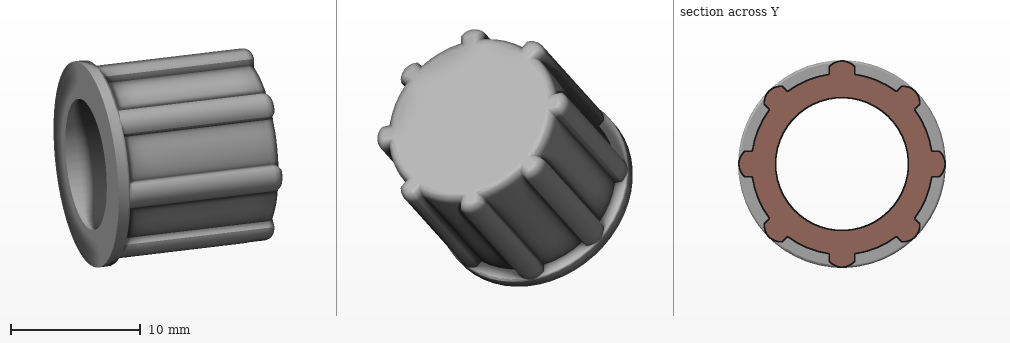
import cadquery as cq

total_length = 13.5
flange_diameter = 16.0
flange_thickness = 1.0
flange_edge_radius = 0.2
body_radius = 7.0
bore_diameter = 10.2
end_wall = 1.5
bore_depth = total_length - end_wall

rib_count = 8
rib_width = 2.0
rib_tip_radius = 7.96
rib_shoulder_radius = 7.48
closed_end_fillet = 0.7


def axial_plane(y):
    """Plane across the cap axis at the given y, with its normal along +Y."""
    return cq.Workplane(cq.Plane(origin=(0, y, 0), xDir=(1, 0, 0), normal=(0, 1, 0)))


def make_rib():
    """Straight-flanked rib with a crowned crest, rooted inside the body at +X."""
    half_width = rib_width / 2
    root = bore_diameter / 2 + rib_width / 2
    return (
        axial_plane(0)
        .moveTo(root, -half_width)
        .lineTo(rib_shoulder_radius, -half_width)
        .threePointArc((rib_tip_radius, 0), (rib_shoulder_radius, half_width))
        .lineTo(root, half_width)
        .close()
        .extrude(total_length)
    )


def make_ribbed_body():
    """Cylinder with evenly spaced ribs, rounded all round the closed end."""
    body = axial_plane(0).circle(body_radius).extrude(total_length)
    rib = make_rib()
    for index in range(rib_count):
        angle = index * 360 / rib_count
        body = body.union(rib.rotate((0, 0, 0), (0, 1, 0), angle))
    return body.faces(">Y").edges().fillet(closed_end_fillet)


def make_flange():
    """Disc at the open end with its inner rim edge rounded."""
    disc = axial_plane(0).circle(flange_diameter / 2).extrude(flange_thickness)
    return disc.faces(">Y").edges().fillet(flange_edge_radius)


bore = axial_plane(0).circle(bore_diameter / 2).extrude(bore_depth)

result = make_ribbed_body().union(make_flange()).cut(bore)